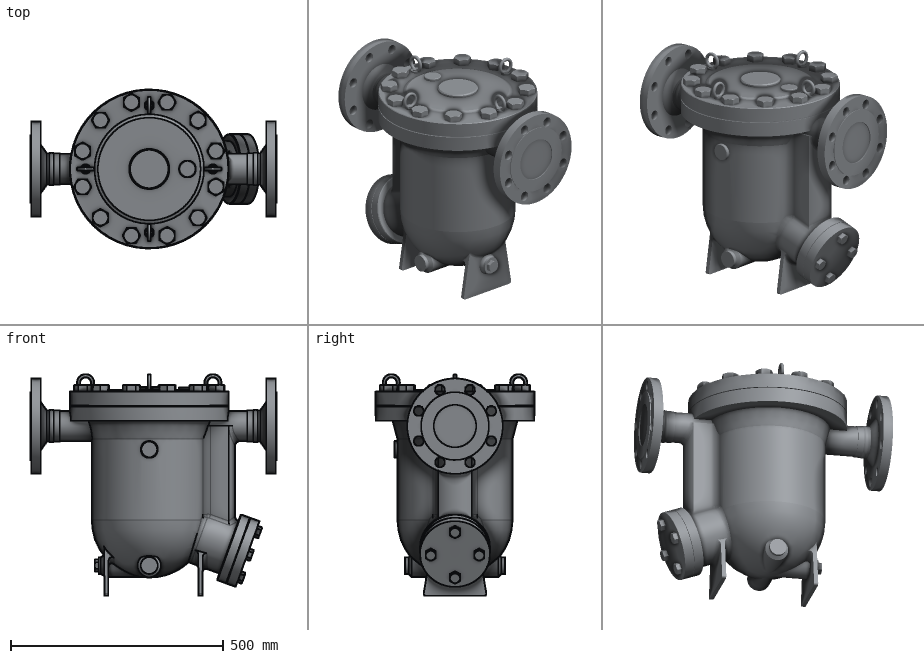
import cadquery as cq
import math


BODY_RADIUS = 136.0
NECK_RADIUS = 147.0
CONE_BOTTOM_Z = -30.0
DOME_CENTER_Z = -221.0

MAIN_FLANGE_RADIUS = 187.5
MAIN_FLANGE_THICKNESS = 34.0
LID_TOP_Z = 82.0
MAIN_GASKET_RADIUS = 143.0
MAIN_GASKET_THICKNESS = 2.0
LID_BOTTOM_Z = LID_TOP_Z - MAIN_FLANGE_THICKNESS
BODY_FLANGE_TOP_Z = LID_BOTTOM_Z - MAIN_GASKET_THICKNESS
BODY_FLANGE_BOTTOM_Z = 12.0
EDGE_CHAMFER = 1.5

PANEL_BASE_RADIUS = 129.0
PANEL_TOP_RADIUS = 121.0
PANEL_HEIGHT = 3.5
CENTER_BOSS_DIAMETER = 95.0
CENTER_BOSS_HEIGHT = 7.5
CENTER_BOSS_CHAMFER = 2.5
SIDE_BOSS_DIAMETER = 40.0
SIDE_BOSS_HEIGHT = 6.0
SIDE_BOSS_X = 90.0
SIDE_BOSS_CHAMFER = 1.0

HEX_CROWN_ANGLE = math.radians(30)

LID_BOLT_COUNT = 12
LID_BOLT_CIRCLE_RADIUS = 162.5
LID_BOLT_ACROSS_FLATS = 36.0
LID_BOLT_HEAD_HEIGHT = 15.0

EYEBOLT_COUNT = 4
EYEBOLT_CIRCLE_RADIUS = 150.0
EYE_TOP_Z = 122.46
EYE_OUTER_RADIUS = 20.5
EYE_WIRE_RADIUS = 4.0
EYE_COLLAR_RADIUS = 11.0
EYE_COLLAR_HEIGHT = 4.0
EYE_SHANK_RADIUS = 8.0
EYE_SHANK_HEIGHT = 7.0

INLET_FACE_X = -280.0
OUTLET_FACE_X = 300.0
PIPE_RADIUS = 36.0
WELD_NECK_RADIUS = 37.5
WELD_BEAD_HEIGHT = 1.2
HUB_RADIUS = 57.0
PIPE_FLANGE_RADIUS = 112.5
RAISED_FACE_RADIUS = 80.0
RAISED_FACE_HEIGHT = 2.0
PIPE_FLANGE_BACK = 24.5
HUB_END = 38.5
BEAD_START = 44.7
BEAD_END = 54.5
WELD_NECK_END = 69.5
BORE_RADIUS = 50.0
BORE_RECESS_DEPTH = 3.0
PIPE_HOLE_COUNT = 8
PIPE_HOLE_DIAMETER = 23.0
PIPE_HOLE_CIRCLE_RADIUS = 92.5

DUCT_HALF_WIDTH = 40.0
DUCT_END_X = 202.0
DUCT_SIDE_END_X = 187.0
DUCT_BODY_FILLET = 20.0
DUCT_TOP_Z = 1.0
DUCT_BOTTOM_Z = -285.0
DUCT_PIPE_FILLET = 11.0
DUCT_NOZZLE_FILLET = 12.0

NOZZLE_TILT = 20.0
NOZZLE_AXIS_Z = -217.0
NOZZLE_RADIUS = 66.0
NOZZLE_ROOT_FILLET = 15.0
COVER_BACK_DISTANCE = 199.5
COVER_FLANGE_RADIUS = 82.5
COVER_FLANGE_THICKNESS = 23.0
COVER_GASKET_RADIUS = 52.5
COVER_GASKET_THICKNESS = 1.0
COVER_FRONT_DISTANCE = COVER_BACK_DISTANCE + 2 * COVER_FLANGE_THICKNESS + COVER_GASKET_THICKNESS
COVER_BOLT_COUNT = 4
COVER_BOLT_CIRCLE_RADIUS = 57.0
COVER_BOLT_ACROSS_FLATS = 24.0
COVER_BOLT_HEAD_HEIGHT = 11.0
COVER_BOLT_HEAD_TURN = 0.0

PORT_Z = -328.5
PORT_RADIUS = 27.5
PLUG_RADIUS = 20.0
SIDE_PORT_SHOULDER = 102.0
SIDE_PORT_NOSE = 109.0
SIDE_PLUG_END = 118.0
REAR_PORT_SHOULDER = 101.0
REAR_PORT_NOSE = 114.0
REAR_PLUG_END = 119.0
REAR_HEX_END = 128.5
REAR_HEX_ACROSS_FLATS = 26.0

SIGHT_PLUG_Z = -55.0
SIGHT_PLUG_RADIUS = 20.0
SIGHT_PLUG_REACH = 143.0
SIGHT_PLUG_CHAMFER = 1.5

FOOT_BOTTOM_Z = -400.0
FOOT_TOP_Z = -275.0
FOOT_BOTTOM_HALF_WIDTH = 75.0
FOOT_TOP_HALF_WIDTH = 54.0
FOOT_THICKNESS = 10.0
FOOT_CORNER_RADIUS = 5.0
FOOT_FILLET = 8.0
FOOT_BLEND_LOWEST_Z = -350.0
FOOT_CENTERS_X = (-101.0, 120.5)

MARGIN = 0.5


def disc(radius, bottom_z, height):
    return cq.Workplane("XY").workplane(offset=bottom_z).circle(radius).extrude(height)


def hex_head(across_flats, height):
    """Hexagonal bolt head standing on z = 0, corners along X and rounded off at the top."""
    across_corners = across_flats / math.cos(math.pi / 6)
    hexagon = cq.Workplane("XY").polygon(6, across_corners).extrude(height)
    corner_depth = (across_corners - across_flats) / 2
    crown_height = corner_depth * math.tan(HEX_CROWN_ANGLE)
    crown = disc(across_corners / 2, 0, height).faces(">Z").chamfer(crown_height, corner_depth)
    return hexagon.intersect(crown)


def make_body():
    half_root = math.sqrt(0.5) * BODY_RADIUS
    return (
        cq.Workplane("XZ")
        .moveTo(0, BODY_FLANGE_TOP_Z)
        .lineTo(MAIN_FLANGE_RADIUS, BODY_FLANGE_TOP_Z)
        .lineTo(MAIN_FLANGE_RADIUS, BODY_FLANGE_BOTTOM_Z)
        .lineTo(NECK_RADIUS, BODY_FLANGE_BOTTOM_Z)
        .lineTo(BODY_RADIUS, CONE_BOTTOM_Z)
        .lineTo(BODY_RADIUS, DOME_CENTER_Z)
        .threePointArc((half_root, DOME_CENTER_Z - half_root), (0, DOME_CENTER_Z - BODY_RADIUS))
        .close()
        .revolve(360, (0, 0, 0), (0, 1, 0))
    )


def make_lid():
    gasket = disc(MAIN_GASKET_RADIUS, BODY_FLANGE_TOP_Z, MAIN_GASKET_THICKNESS)
    lid = disc(MAIN_FLANGE_RADIUS, LID_BOTTOM_Z, MAIN_FLANGE_THICKNESS)
    lid = lid.faces(">Z").chamfer(EDGE_CHAMFER).union(gasket)
    panel = (
        cq.Workplane("XY").workplane(offset=LID_TOP_Z).circle(PANEL_BASE_RADIUS)
        .workplane(offset=PANEL_HEIGHT).circle(PANEL_TOP_RADIUS).loft()
    )
    panel_top_z = LID_TOP_Z + PANEL_HEIGHT
    center_boss = disc(CENTER_BOSS_DIAMETER / 2, panel_top_z, CENTER_BOSS_HEIGHT)
    center_boss = center_boss.faces(">Z").chamfer(CENTER_BOSS_CHAMFER)
    side_boss = disc(SIDE_BOSS_DIAMETER / 2, panel_top_z, SIDE_BOSS_HEIGHT)
    side_boss = side_boss.faces(">Z").chamfer(SIDE_BOSS_CHAMFER).translate((SIDE_BOSS_X, 0, 0))
    return lid.union(panel).union(center_boss).union(side_boss)


def add_lid_bolts(part):
    pitch = 360 / LID_BOLT_COUNT
    head = hex_head(LID_BOLT_ACROSS_FLATS, LID_BOLT_HEAD_HEIGHT)
    head = head.rotate((0, 0, 0), (0, 0, 1), -pitch / 2)
    head = head.translate((LID_BOLT_CIRCLE_RADIUS, 0, LID_TOP_Z))
    for i in range(LID_BOLT_COUNT):
        part = part.union(head.rotate((0, 0, 0), (0, 0, 1), (i + 0.5) * pitch))
    return part


def add_eyebolts(part):
    ring_radius = EYE_OUTER_RADIUS - EYE_WIRE_RADIUS
    ring = cq.Workplane(cq.Solid.makeTorus(ring_radius, EYE_WIRE_RADIUS, dir=cq.Vector(0, 1, 0)))
    ring = ring.translate((0, 0, EYE_TOP_Z - EYE_OUTER_RADIUS))
    collar = disc(EYE_COLLAR_RADIUS, LID_TOP_Z, EYE_COLLAR_HEIGHT)
    shank = disc(EYE_SHANK_RADIUS, LID_TOP_Z, EYE_SHANK_HEIGHT)
    eyebolt = collar.union(shank).union(ring).translate((EYEBOLT_CIRCLE_RADIUS, 0, 0))
    for i in range(EYEBOLT_COUNT):
        part = part.union(eyebolt.rotate((0, 0, 0), (0, 0, 1), i * 360 / EYEBOLT_COUNT))
    return part


def make_pipe(face_distance):
    """Pipe along +X from the vessel axis to a weld-neck flange facing +X."""
    bead_middle = (BEAD_START + BEAD_END) / 2
    pipe = (
        cq.Workplane("XY")
        .lineTo(face_distance, 0)
        .lineTo(face_distance, RAISED_FACE_RADIUS)
        .lineTo(face_distance - RAISED_FACE_HEIGHT, RAISED_FACE_RADIUS)
        .lineTo(face_distance - RAISED_FACE_HEIGHT, PIPE_FLANGE_RADIUS)
        .lineTo(face_distance - PIPE_FLANGE_BACK, PIPE_FLANGE_RADIUS)
        .lineTo(face_distance - PIPE_FLANGE_BACK, HUB_RADIUS)
        .lineTo(face_distance - HUB_END, WELD_NECK_RADIUS)
        .lineTo(face_distance - BEAD_START, WELD_NECK_RADIUS)
        .threePointArc(
            (face_distance - bead_middle, WELD_NECK_RADIUS + WELD_BEAD_HEIGHT),
            (face_distance - BEAD_END, WELD_NECK_RADIUS),
        )
        .lineTo(face_distance - WELD_NECK_END, WELD_NECK_RADIUS)
        .lineTo(face_distance - WELD_NECK_END, PIPE_RADIUS)
        .lineTo(0, PIPE_RADIUS)
        .close()
        .revolve(360, (0, 0, 0), (1, 0, 0))
    )
    face = cq.Workplane("YZ").workplane(offset=face_distance)
    recess = face.circle(BORE_RADIUS).extrude(-BORE_RECESS_DEPTH)
    first_hole_angle = 180 / PIPE_HOLE_COUNT
    holes = (
        face.polarArray(PIPE_HOLE_CIRCLE_RADIUS, first_hole_angle, 360, PIPE_HOLE_COUNT)
        .circle(PIPE_HOLE_DIAMETER / 2).extrude(-PIPE_FLANGE_BACK)
    )
    return pipe.cut(recess).cut(holes)


def make_duct():
    """Outlet duct: straight sides, bowed outer wall, filleted onto the body."""
    fillet_y = DUCT_HALF_WIDTH + DUCT_BODY_FILLET
    reach = BODY_RADIUS + DUCT_BODY_FILLET
    fillet_x = math.sqrt(reach ** 2 - fillet_y ** 2)
    body_ratio = BODY_RADIUS / reach
    root_x = fillet_x * body_ratio
    root_y = fillet_y * body_ratio
    bisector = math.atan2(fillet_y, fillet_x)
    arc_angle = (bisector + math.pi + 1.5 * math.pi) / 2
    mid_x = fillet_x + DUCT_BODY_FILLET * math.cos(arc_angle)
    mid_y = fillet_y + DUCT_BODY_FILLET * math.sin(arc_angle)
    return (
        cq.Workplane("XY").workplane(offset=DUCT_BOTTOM_Z)
        .moveTo(0, -root_y)
        .lineTo(root_x, -root_y)
        .threePointArc((mid_x, -mid_y), (fillet_x, -DUCT_HALF_WIDTH))
        .lineTo(DUCT_SIDE_END_X, -DUCT_HALF_WIDTH)
        .threePointArc((DUCT_END_X, 0), (DUCT_SIDE_END_X, DUCT_HALF_WIDTH))
        .lineTo(fillet_x, DUCT_HALF_WIDTH)
        .threePointArc((mid_x, mid_y), (root_x, root_y))
        .lineTo(0, root_y)
        .close()
        .extrude(DUCT_TOP_Z - DUCT_BOTTOM_Z)
    )


def tilt_nozzle(part):
    """Tilt a part built along +X down to the nozzle axis."""
    return part.rotate((0, 0, 0), (0, 1, 0), NOZZLE_TILT).translate((0, 0, NOZZLE_AXIS_Z))


def make_nozzle():
    """Inclined nozzle tube with a flared root on the dome."""
    fillet_radial = NOZZLE_RADIUS + NOZZLE_ROOT_FILLET
    reach = BODY_RADIUS + NOZZLE_ROOT_FILLET
    fillet_axial = math.sqrt(reach ** 2 - fillet_radial ** 2)
    dome_ratio = BODY_RADIUS / reach
    toward_dome = math.atan2(fillet_radial, fillet_axial) + math.pi
    arc_angle = (toward_dome + 1.5 * math.pi) / 2
    arc_mid = (
        fillet_axial + NOZZLE_ROOT_FILLET * math.cos(arc_angle),
        fillet_radial + NOZZLE_ROOT_FILLET * math.sin(arc_angle),
    )
    tube = (
        cq.Workplane("XY")
        .lineTo(fillet_axial * dome_ratio, fillet_radial * dome_ratio)
        .threePointArc(arc_mid, (fillet_axial, NOZZLE_RADIUS))
        .lineTo(COVER_BACK_DISTANCE + COVER_FLANGE_THICKNESS, NOZZLE_RADIUS)
        .lineTo(COVER_BACK_DISTANCE + COVER_FLANGE_THICKNESS, 0)
        .close()
        .revolve(360, (0, 0, 0), (1, 0, 0))
    )
    return tilt_nozzle(tube)


def make_cover():
    """Nozzle flange, gasket and bolted blind cover."""
    plate = disc(COVER_FLANGE_RADIUS, 0, COVER_FLANGE_THICKNESS)
    flange = plate.faces("<Z").chamfer(EDGE_CHAMFER)
    gasket = disc(COVER_GASKET_RADIUS, COVER_FLANGE_THICKNESS, COVER_GASKET_THICKNESS)
    blind = plate.translate((0, 0, COVER_FLANGE_THICKNESS + COVER_GASKET_THICKNESS))
    cover = flange.union(gasket).union(blind)
    head = hex_head(COVER_BOLT_ACROSS_FLATS, COVER_BOLT_HEAD_HEIGHT)
    head = head.rotate((0, 0, 0), (0, 0, 1), COVER_BOLT_HEAD_TURN)
    head_seat = COVER_FRONT_DISTANCE - COVER_BACK_DISTANCE
    for i in range(COVER_BOLT_COUNT):
        angle = i * 2 * math.pi / COVER_BOLT_COUNT
        seat_x = COVER_BOLT_CIRCLE_RADIUS * math.cos(angle)
        seat_y = COVER_BOLT_CIRCLE_RADIUS * math.sin(angle)
        cover = cover.union(head.translate((seat_x, seat_y, head_seat)))
    cover = cover.rotate((0, 0, 0), (0, 1, 0), 90).translate((COVER_BACK_DISTANCE, 0, 0))
    return tilt_nozzle(cover)


def make_port(shoulder, nose, plug_end):
    """Round port along +X with a tapered nose and a plug, on the vessel axis."""
    return (
        cq.Workplane("XY")
        .lineTo(0, PORT_RADIUS)
        .lineTo(shoulder, PORT_RADIUS)
        .lineTo(nose, PLUG_RADIUS)
        .lineTo(plug_end, PLUG_RADIUS)
        .lineTo(plug_end, 0)
        .close()
        .revolve(360, (0, 0, 0), (1, 0, 0))
    )


def add_ports(part):
    side_port = make_port(SIDE_PORT_SHOULDER, SIDE_PORT_NOSE, SIDE_PLUG_END)
    rear_port = make_port(REAR_PORT_SHOULDER, REAR_PORT_NOSE, REAR_PLUG_END)
    hexagon = hex_head(REAR_HEX_ACROSS_FLATS, REAR_HEX_END - REAR_PLUG_END)
    hexagon = hexagon.rotate((0, 0, 0), (0, 1, 0), 90).translate((REAR_PLUG_END, 0, 0))
    placed_ports = ((side_port, 90), (side_port, -90), (rear_port.union(hexagon), 180))
    for port, angle in placed_ports:
        part = part.union(port.rotate((0, 0, 0), (0, 0, 1), angle).translate((0, 0, PORT_Z)))
    return part


def make_sight_plug():
    plug = disc(SIGHT_PLUG_RADIUS, 0, SIGHT_PLUG_REACH).faces(">Z").chamfer(SIGHT_PLUG_CHAMFER)
    return plug.rotate((0, 0, 0), (1, 0, 0), 90).translate((0, 0, SIGHT_PLUG_Z))


def make_foot(center_x):
    return (
        cq.Workplane("YZ").workplane(offset=center_x - FOOT_THICKNESS / 2)
        .moveTo(-FOOT_BOTTOM_HALF_WIDTH, FOOT_BOTTOM_Z)
        .lineTo(FOOT_BOTTOM_HALF_WIDTH, FOOT_BOTTOM_Z)
        .lineTo(FOOT_TOP_HALF_WIDTH, FOOT_TOP_Z)
        .lineTo(-FOOT_TOP_HALF_WIDTH, FOOT_TOP_Z)
        .close()
        .extrude(FOOT_THICKNESS)
        .edges("|X and <Z").fillet(FOOT_CORNER_RADIUS)
    )


def edges_within(part, low, high):
    return part.edges(cq.selectors.BoxSelector(low, high, boundingbox=True))


def join_outlet(duct):
    """Join the outlet pipe to the duct and blend the pipe's underside onto the bowed wall."""
    joined = duct.union(make_pipe(OUTLET_FACE_X), clean=False)
    low = (DUCT_SIDE_END_X, -PIPE_RADIUS - MARGIN, -PIPE_RADIUS - MARGIN)
    high = (DUCT_END_X + MARGIN, PIPE_RADIUS + MARGIN, DUCT_TOP_Z + MARGIN)
    return edges_within(joined, low, high).fillet(DUCT_PIPE_FILLET)


def join_nozzle(part):
    """Join the nozzle tube and blend the foot of the duct onto it."""
    joined = part.union(make_nozzle(), clean=False)
    slope = math.tan(math.radians(NOZZLE_TILT))
    crest_z = NOZZLE_AXIS_Z + NOZZLE_RADIUS / math.cos(math.radians(NOZZLE_TILT))
    low = (BODY_RADIUS, -DUCT_HALF_WIDTH - DUCT_BODY_FILLET, crest_z - DUCT_END_X * slope - NOZZLE_RADIUS / 3)
    high = (DUCT_END_X + MARGIN, DUCT_HALF_WIDTH + DUCT_BODY_FILLET, crest_z - BODY_RADIUS * slope)
    return edges_within(joined, low, high).fillet(DUCT_NOZZLE_FILLET)


def join_foot(part, center_x):
    """Join a foot plate and blend both of its faces onto the casting above."""
    joined = part.union(make_foot(center_x), clean=False)
    for face_x in (center_x - FOOT_THICKNESS / 2, center_x + FOOT_THICKNESS / 2):
        low = (face_x - MARGIN, -FOOT_BOTTOM_HALF_WIDTH, FOOT_BLEND_LOWEST_Z)
        high = (face_x + MARGIN, FOOT_BOTTOM_HALF_WIDTH, FOOT_TOP_Z)
        joined = edges_within(joined, low, high).fillet(FOOT_FILLET)
    return joined


part = make_body().union(join_nozzle(join_outlet(make_duct())), clean=False)
for foot_x in FOOT_CENTERS_X:
    part = join_foot(part, foot_x)
inlet = make_pipe(-INLET_FACE_X).rotate((0, 0, 0), (0, 0, 1), 180)
part = part.union(inlet, clean=False).union(make_cover(), clean=False)
part = add_ports(part)
part = part.union(make_sight_plug(), clean=False)
part = part.union(make_lid(), clean=False)
part = add_lid_bolts(part)
part = add_eyebolts(part)

result = part